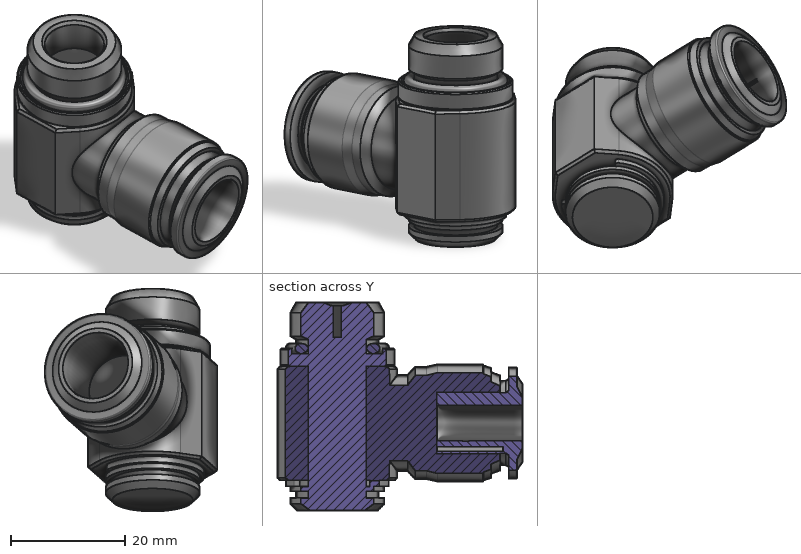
import cadquery as cq
import math


STEM_HEIGHT = 36.5
STEM_RADIUS = 8.25
STEM_NECK_RADIUS = 7.25
TOP_TIP_RADIUS = 7.22
TOP_TIP_BASE_Z = 34.65
THREAD_BOTTOM_Z = 30.57
THREAD_RUNOUT_Z = 29.95
BOTTOM_TIP_RADIUS = 7.05
BOTTOM_TIP_TOP_Z = 1.2
LOWER_GROOVE_Z = 2.25
LOWER_GROOVE_TOP_Z = 3.35
COLLAR_BOTTOM_Z = 4.25
FLANGE_RADIUS = 10.05
FLANGE_TOP_Z = 28.42
FLANGE_CHAMFER = 0.25
STEM_BORE_RADIUS = 5.2
STEM_BORE_DEPTH = 6.1
BORE_MOUTH_RADIUS = 5.68
BORE_MOUTH_DEPTH = 0.6

COLLAR_RADIUS = 9.05
COLLAR_MOUTH_WIDTH = 12.4
COLLAR_END_FILLET = 0.5
COLLAR_TURN = -6.2

CORD_RADIUS = 0.9
O_RING_MEAN_RADIUS = STEM_NECK_RADIUS + CORD_RADIUS
RECESS_RADIUS = 9.45
RECESS_FLOOR_Z = FLANGE_TOP_Z - CORD_RADIUS

HOUSING_RADIUS = 10.55
HOUSING_HALF_WIDTH = 10.5
HOUSING_BOTTOM_Z = 5.3
HOUSING_TOP_Z = 25.3
HOUSING_CHAMFER = 0.47

BRANCH_Z = 15.35
BRANCH_NECK_RADIUS = 8.43
BRANCH_NECK_END_X = 12.3
BAND_RADIUS = 9.85
BAND_START_X = 13.65
BAND_END_X = 15.55
BARREL_RADIUS = 10.28
BARREL_START_X = 17.5
BARREL_END_X = 25.45
BARREL_EDGE_X = 25.65
BARREL_EDGE_RADIUS = 10.05
BARREL_TIP_X = 26.95
BARREL_TIP_RADIUS = 9.65
NOSE_BASE_RADIUS = 8.9
NOSE_TIP_X = 28.5
NOSE_TIP_RADIUS = 8.35

SLEEVE_RADIUS = 7.45
SLEEVE_BORE_RADIUS = 6.0
SLEEVE_END_X = 43 - HOUSING_RADIUS
SLEEVE_START_X = BARREL_START_X
SLEEVE_FLARE_X = 29.55
SLEEVE_FLARE_RADIUS = 7.7
SLEEVE_FLANGE_X = 30.0
SLEEVE_FLANGE_END_X = 31.5
SLEEVE_FLANGE_RADIUS = 9.75
SLEEVE_FLANGE_FILLET = 0.25
SLEEVE_CONE_RADIUS = 8.2
SLEEVE_TIP_RADIUS = 6.8
SLIT_WIDTH = 0.55
SLIT_END_X = 29.0
SLIT_ANGLE = 41.5


def revolve_about_z(profile):
    """Full turn about Z of a closed wire drawn as (radius, height) on the XZ plane."""
    return profile.revolve(360, (0, 0, 0), (0, 1, 0))


def revolve_about_branch(points):
    """Full turn about the branch axis of (x, radius) corner points."""
    profile = cq.Workplane("XZ", origin=(0, 0, BRANCH_Z)).polyline(points).close()
    return profile.revolve(360, (0, 0, 0), (1, 0, 0))


def make_stem_shaft():
    flange_edge_radius = FLANGE_RADIUS - FLANGE_CHAMFER
    bore_floor_z = STEM_HEIGHT - STEM_BORE_DEPTH
    profile = (
        cq.Workplane("XZ")
        .moveTo(0, 0)
        .lineTo(BOTTOM_TIP_RADIUS, 0)
        .lineTo(STEM_RADIUS, BOTTOM_TIP_TOP_Z)
        .lineTo(STEM_RADIUS, LOWER_GROOVE_Z)
        .lineTo(STEM_NECK_RADIUS, LOWER_GROOVE_Z)
        .lineTo(STEM_NECK_RADIUS, LOWER_GROOVE_TOP_Z)
        .lineTo(STEM_RADIUS, LOWER_GROOVE_TOP_Z)
        .lineTo(STEM_RADIUS, COLLAR_BOTTOM_Z)
        .lineTo(STEM_NECK_RADIUS, COLLAR_BOTTOM_Z)
        .lineTo(STEM_NECK_RADIUS, HOUSING_TOP_Z)
        .lineTo(flange_edge_radius, HOUSING_TOP_Z)
        .lineTo(FLANGE_RADIUS, HOUSING_TOP_Z + FLANGE_CHAMFER)
        .lineTo(FLANGE_RADIUS, FLANGE_TOP_Z - FLANGE_CHAMFER)
        .lineTo(flange_edge_radius, FLANGE_TOP_Z)
        .lineTo(RECESS_RADIUS, FLANGE_TOP_Z)
        .lineTo(RECESS_RADIUS, RECESS_FLOOR_Z)
        .lineTo(STEM_NECK_RADIUS, RECESS_FLOOR_Z)
        .lineTo(STEM_NECK_RADIUS, THREAD_RUNOUT_Z)
        .lineTo(STEM_RADIUS, THREAD_BOTTOM_Z)
        .lineTo(STEM_RADIUS, TOP_TIP_BASE_Z)
        .lineTo(TOP_TIP_RADIUS, STEM_HEIGHT)
        .lineTo(BORE_MOUTH_RADIUS, STEM_HEIGHT)
        .lineTo(STEM_BORE_RADIUS, STEM_HEIGHT - BORE_MOUTH_DEPTH)
        .lineTo(STEM_BORE_RADIUS, bore_floor_z)
        .lineTo(0, bore_floor_z)
        .close()
    )
    return revolve_about_z(profile)


def make_collar():
    """C-shaped collar in the stem groove, open toward -Y, with rounded outer ends."""
    thickness = HOUSING_BOTTOM_Z - COLLAR_BOTTOM_Z
    ring = (
        cq.Workplane("XY", origin=(0, 0, COLLAR_BOTTOM_Z))
        .circle(COLLAR_RADIUS)
        .circle(STEM_NECK_RADIUS)
        .extrude(thickness)
    )
    mouth = (
        cq.Workplane("XY", origin=(0, -COLLAR_RADIUS / 2, COLLAR_BOTTOM_Z))
        .rect(COLLAR_MOUTH_WIDTH, COLLAR_RADIUS)
        .extrude(thickness)
    )
    outer_end_y = -math.sqrt(COLLAR_RADIUS**2 - (COLLAR_MOUTH_WIDTH / 2) ** 2)
    outer_ends = cq.selectors.BoxSelector(
        (-COLLAR_RADIUS, outer_end_y - COLLAR_END_FILLET, COLLAR_BOTTOM_Z),
        (COLLAR_RADIUS, outer_end_y + COLLAR_END_FILLET, HOUSING_BOTTOM_Z),
    )
    collar = ring.cut(mouth).edges("|Z").edges(outer_ends).fillet(COLLAR_END_FILLET)
    return collar.rotate((0, 0, 0), (0, 0, 1), COLLAR_TURN)


def make_stem():
    return make_stem_shaft().union(make_collar())


def make_o_ring():
    cord = cq.Workplane("XZ").center(O_RING_MEAN_RADIUS, FLANGE_TOP_Z).circle(CORD_RADIUS)
    return cord.revolve(360, (-O_RING_MEAN_RADIUS, 0, 0), (-O_RING_MEAN_RADIUS, 1, 0))


def make_housing_block():
    """Round block with a wrench flat on -Y and +Y, joined to the round by 45 degree faces."""
    tangent = HOUSING_RADIUS * math.sqrt(0.5)
    flat_half_length = 2 * tangent - HOUSING_HALF_WIDTH
    block = (
        cq.Workplane("XY", origin=(0, 0, HOUSING_BOTTOM_Z))
        .moveTo(-flat_half_length, -HOUSING_HALF_WIDTH)
        .lineTo(flat_half_length, -HOUSING_HALF_WIDTH)
        .lineTo(tangent, -tangent)
        .threePointArc((HOUSING_RADIUS, 0), (tangent, tangent))
        .lineTo(flat_half_length, HOUSING_HALF_WIDTH)
        .lineTo(-flat_half_length, HOUSING_HALF_WIDTH)
        .lineTo(-tangent, tangent)
        .threePointArc((-HOUSING_RADIUS, 0), (-tangent, -tangent))
        .close()
        .extrude(HOUSING_TOP_Z - HOUSING_BOTTOM_Z)
    )
    return block.faces("<Z or >Z").chamfer(HOUSING_CHAMFER)


def make_branch():
    return revolve_about_branch([
        (0, 0),
        (0, BRANCH_NECK_RADIUS),
        (BRANCH_NECK_END_X, BRANCH_NECK_RADIUS),
        (BAND_START_X, BAND_RADIUS),
        (BAND_END_X, BAND_RADIUS),
        (BARREL_START_X, BARREL_RADIUS),
        (BARREL_END_X, BARREL_RADIUS),
        (BARREL_EDGE_X, BARREL_EDGE_RADIUS),
        (BARREL_TIP_X, BARREL_TIP_RADIUS),
        (BARREL_TIP_X, NOSE_BASE_RADIUS),
        (NOSE_TIP_X, NOSE_TIP_RADIUS),
        (NOSE_TIP_X, 0),
    ])


def make_housing():
    stem_hole = (
        cq.Workplane("XY", origin=(0, 0, HOUSING_BOTTOM_Z))
        .circle(STEM_NECK_RADIUS)
        .extrude(HOUSING_TOP_Z - HOUSING_BOTTOM_Z)
    )
    sleeve_socket = (
        cq.Workplane("YZ", origin=(SLEEVE_START_X, 0, BRANCH_Z))
        .circle(SLEEVE_RADIUS)
        .extrude(NOSE_TIP_X - SLEEVE_START_X)
    )
    return make_housing_block().union(make_branch()).cut(stem_hole).cut(sleeve_socket)


def make_sleeve():
    """Release sleeve: a tube with a push flange and two opposite slits in its inner part."""
    sleeve = revolve_about_branch([
        (SLEEVE_START_X, SLEEVE_BORE_RADIUS),
        (SLEEVE_START_X, SLEEVE_RADIUS),
        (SLEEVE_FLARE_X, SLEEVE_RADIUS),
        (SLEEVE_FLANGE_X, SLEEVE_FLARE_RADIUS),
        (SLEEVE_FLANGE_X, SLEEVE_FLANGE_RADIUS),
        (SLEEVE_FLANGE_END_X, SLEEVE_FLANGE_RADIUS),
        (SLEEVE_FLANGE_END_X, SLEEVE_CONE_RADIUS),
        (SLEEVE_END_X, SLEEVE_TIP_RADIUS),
        (SLEEVE_END_X, SLEEVE_BORE_RADIUS),
    ])
    flange_rim = sleeve.edges(cq.selectors.RadiusNthSelector(-1)).edges(">X")
    sleeve = flange_rim.fillet(SLEEVE_FLANGE_FILLET)
    slits = (
        cq.Workplane("YZ", origin=(SLEEVE_START_X, 0, BRANCH_Z))
        .transformed(rotate=(0, 0, SLIT_ANGLE))
        .rect(2 * SLEEVE_FLANGE_RADIUS, SLIT_WIDTH)
        .extrude(SLIT_END_X - SLEEVE_START_X)
    )
    return sleeve.cut(slits)


stem = make_stem()
o_ring = make_o_ring()
housing = make_housing()
sleeve = make_sleeve()

result = cq.Compound.makeCompound([stem.val(), o_ring.val(), housing.val(), sleeve.val()])